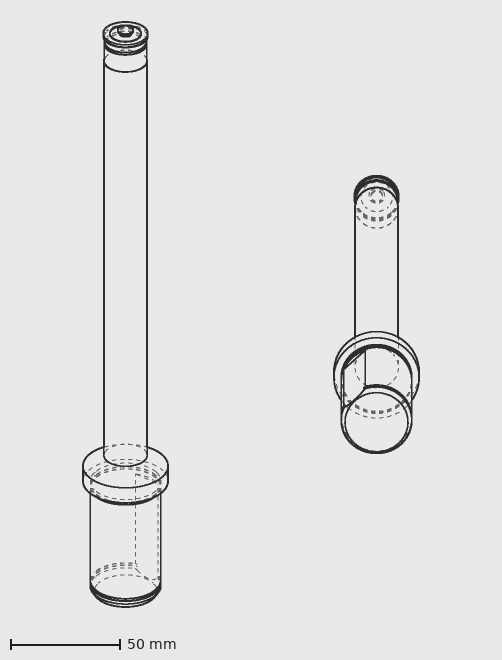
import cadquery as cq
import math

total_height = 300.0
collar_radius = 19.5

shank_radius = 16.2
shank_end_radius = 14.5
end_chamfer_height = 2.7
undercut_depth = 0.3
lower_groove_bottom = 4.2
lower_groove_top = 5.5
upper_groove_bottom = 55.5
upper_groove_top = 56.7
flat_offset = 14.7
flat_height = 53.0

collar_bottom = 58.5
collar_top = 66.5
cone_top = 72.3

stem_radius = 10.0
sleeve_step = 0.15
sleeve_radius = stem_radius - sleeve_step
sleeve_bottom = 282.3
head_groove_bottom = 291.3
head_groove_top = 292.5
flange_radius = 10.2
flange_bottom = 295.5
flange_top = 297.0
face_ring_radius = 7.2
face_ring_depth = 0.3

button_neck_radius = 2.7
button_radius = 3.5
button_bottom = 298.2
button_rim_top = 298.8


def dome_middle():
    """Point on the button's dome halfway out from the axis."""
    rise = total_height - button_rim_top
    sphere_radius = (button_radius**2 + rise**2) / (2 * rise)
    middle_radius = button_radius / 2
    drop = sphere_radius - math.sqrt(sphere_radius**2 - middle_radius**2)
    return (middle_radius, total_height - drop)


def turned_body():
    """Revolve the half profile, listed from the bottom up, about Z."""
    shank_groove_radius = shank_radius - undercut_depth
    head_groove_radius = sleeve_radius - undercut_depth
    recessed_face = flange_top - face_ring_depth
    profile = [
        (0, 0),
        (shank_end_radius, 0),
        (shank_radius, end_chamfer_height),
        (shank_radius, lower_groove_bottom),
        (shank_groove_radius, lower_groove_bottom),
        (shank_groove_radius, lower_groove_top),
        (shank_radius, lower_groove_top),
        (shank_radius, upper_groove_bottom),
        (shank_groove_radius, upper_groove_bottom),
        (shank_groove_radius, upper_groove_top),
        (shank_radius, upper_groove_top),
        (shank_radius, collar_bottom),
        (collar_radius, collar_bottom),
        (collar_radius, collar_top),
        (stem_radius, cone_top),
        (stem_radius, sleeve_bottom),
        (sleeve_radius, sleeve_bottom),
        (sleeve_radius, head_groove_bottom),
        (head_groove_radius, head_groove_bottom),
        (head_groove_radius, head_groove_top),
        (sleeve_radius, head_groove_top),
        (sleeve_radius, flange_bottom),
        (flange_radius, flange_bottom),
        (flange_radius, flange_top),
        (face_ring_radius, flange_top),
        (face_ring_radius, recessed_face),
        (button_neck_radius, recessed_face),
        (button_neck_radius, button_bottom),
        (button_radius, button_bottom),
        (button_radius, button_rim_top),
    ]
    outline = cq.Workplane("XZ").polyline(profile)
    outline = outline.threePointArc(dome_middle(), (0, total_height)).close()
    return outline.revolve(360, (0, 0), (0, 1))


def shank_flat():
    """Block that removes the +Y side of the shank up to the flat's height."""
    return (
        cq.Workplane("XY")
        .box(2 * collar_radius, collar_radius, flat_height, centered=(True, False, False))
        .translate((0, flat_offset, 0))
    )


result = turned_body().cut(shank_flat())